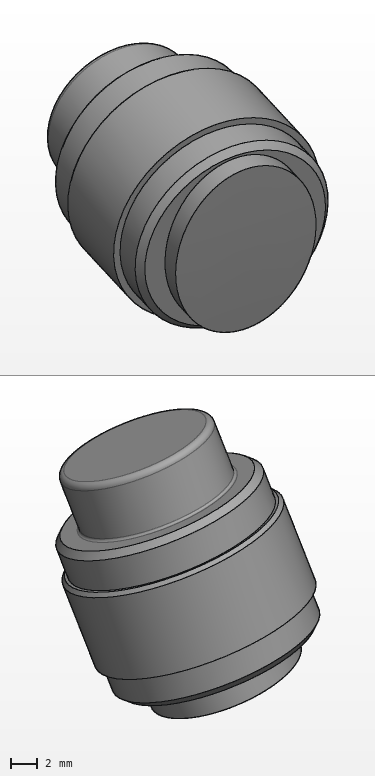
import cadquery as cq
import math

TOTAL_LENGTH = 19.5
PLUG_END = 4.75
COLLAR_START = 7.8
COLLAR_END = 15.0
BODY_END = 17.8

PLUG_RADIUS = 6.15
BODY_RADIUS = 8.25
COLLAR_RADIUS = 8.8

PLUG_TIP_FILLET = 0.5
PLUG_ROOT_FILLET = 0.2
BODY_CHAMFER = 0.53
COLLAR_CHAMFER = 0.3

BOSS_HALF_WIDTH = 6.0
BOSS_HALF_HEIGHT = 7.5
DOME_DROP = 0.15


def arc_middle(center_x, center_r, radius, angle):
    """Point on a profile arc at the given angle in degrees from +X."""
    turn = math.radians(angle)
    return (center_x + radius * math.cos(turn), center_r + radius * math.sin(turn))


def turned_body():
    """Plug, body and collar revolved in one piece about X."""
    tip_middle = arc_middle(PLUG_TIP_FILLET, PLUG_RADIUS - PLUG_TIP_FILLET, PLUG_TIP_FILLET, 135)
    root_start = PLUG_END - PLUG_ROOT_FILLET
    root_radius = PLUG_RADIUS + PLUG_ROOT_FILLET
    root_middle = arc_middle(root_start, root_radius, PLUG_ROOT_FILLET, -45)
    profile = (
        cq.Workplane("XZ")
        .moveTo(0, 0)
        .lineTo(0, PLUG_RADIUS - PLUG_TIP_FILLET)
        .threePointArc(tip_middle, (PLUG_TIP_FILLET, PLUG_RADIUS))
        .lineTo(root_start, PLUG_RADIUS)
        .threePointArc(root_middle, (PLUG_END, root_radius))
        .lineTo(PLUG_END, BODY_RADIUS - BODY_CHAMFER)
        .lineTo(PLUG_END + BODY_CHAMFER, BODY_RADIUS)
        .lineTo(COLLAR_START, BODY_RADIUS)
        .lineTo(COLLAR_START, COLLAR_RADIUS - COLLAR_CHAMFER)
        .lineTo(COLLAR_START + COLLAR_CHAMFER, COLLAR_RADIUS)
        .lineTo(COLLAR_END, COLLAR_RADIUS)
        .lineTo(COLLAR_END, BODY_RADIUS)
        .lineTo(BODY_END - BODY_CHAMFER, BODY_RADIUS)
        .lineTo(BODY_END, BODY_RADIUS - BODY_CHAMFER)
        .lineTo(BODY_END, 0)
        .close()
    )
    return profile.revolve(360, (0, 0, 0), (1, 0, 0))


def end_boss():
    """Elliptical boss on the far end, trimmed by a large ball to give its spherical face."""
    dome_radius = (BOSS_HALF_HEIGHT**2 + DOME_DROP**2) / (2 * DOME_DROP)
    dome_center = TOTAL_LENGTH - dome_radius
    ball = cq.Workplane("XY").sphere(dome_radius).translate((dome_center, 0, 0))
    prism = (
        cq.Workplane("YZ", origin=(COLLAR_END, 0, 0))
        .ellipse(BOSS_HALF_WIDTH, BOSS_HALF_HEIGHT)
        .extrude(TOTAL_LENGTH + DOME_DROP - COLLAR_END)
    )
    return prism.intersect(ball)


result = turned_body().union(end_boss())